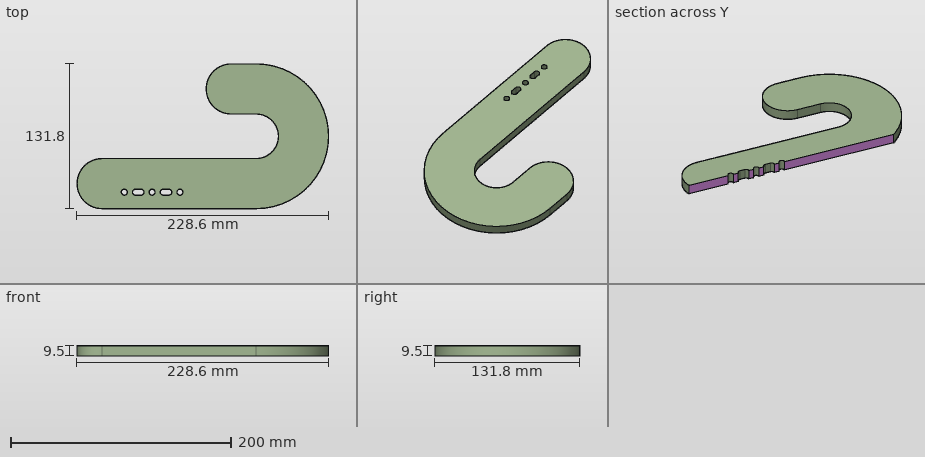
import cadquery as cq

length = 228.6
thickness = 9.5
bar_width = 45.7
outer_radius = 65.9
tip_left = 117.3

row_start = 43.0
row_length = 50.5
row_height = 15.0
hole_diameter = 5.3
slot_length = 10.3

end_radius = bar_width / 2
inner_radius = outer_radius - bar_width
height = 2 * outer_radius
bend_x = length - outer_radius
tip_x = tip_left + end_radius
row_pitch = row_length / 4


def hook_body():
    """J-shaped bar of constant width with rounded ends."""
    return (
        cq.Workplane("XY")
        .moveTo(end_radius, 0)
        .lineTo(bend_x, 0)
        .threePointArc((length, outer_radius), (bend_x, height))
        .lineTo(tip_x, height)
        .threePointArc((tip_left, height - end_radius), (tip_x, height - bar_width))
        .lineTo(bend_x, height - bar_width)
        .threePointArc((bend_x + inner_radius, outer_radius), (bend_x, bar_width))
        .lineTo(end_radius, bar_width)
        .threePointArc((0, end_radius), (end_radius, 0))
        .close()
        .extrude(thickness)
    )


def mounting_cutters():
    """Three round holes alternating with two slots, all on one line."""
    hole_points = [(row_start + i * row_pitch, row_height) for i in (0, 2, 4)]
    slot_points = [(row_start + i * row_pitch, row_height) for i in (1, 3)]
    row_plane = cq.Workplane("XY")
    holes = row_plane.pushPoints(hole_points).circle(hole_diameter / 2).extrude(thickness)
    slots = row_plane.pushPoints(slot_points).slot2D(slot_length, hole_diameter).extrude(thickness)
    return holes.union(slots)


result = hook_body().cut(mounting_cutters())